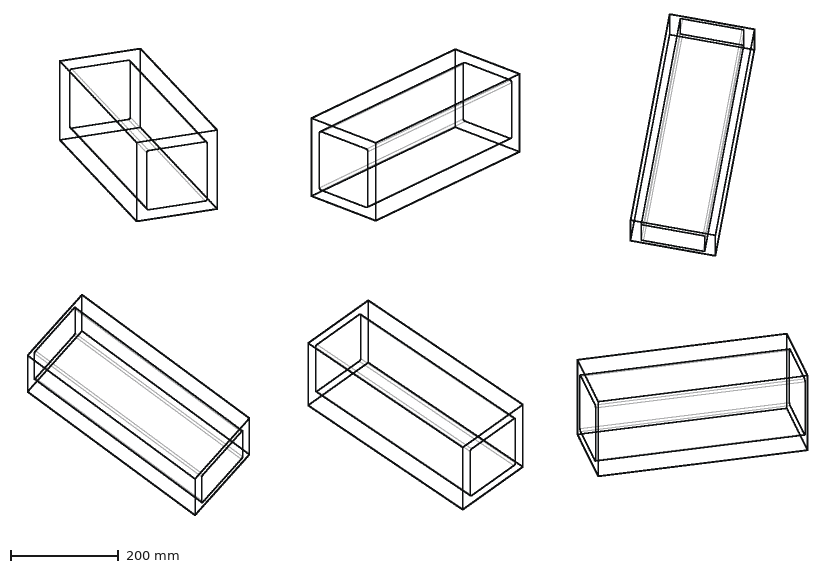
import cadquery as cq

length = 400.0
outer_side = 160.0
wall = 20.0
inner_corner_radius = 4.0

inner_side = outer_side - 2 * wall

block = cq.Workplane("XY").box(length, outer_side, outer_side)

passage = (
    cq.Workplane("XY")
    .box(length, inner_side, inner_side)
    .edges("|X")
    .fillet(inner_corner_radius)
)

result = block.cut(passage)